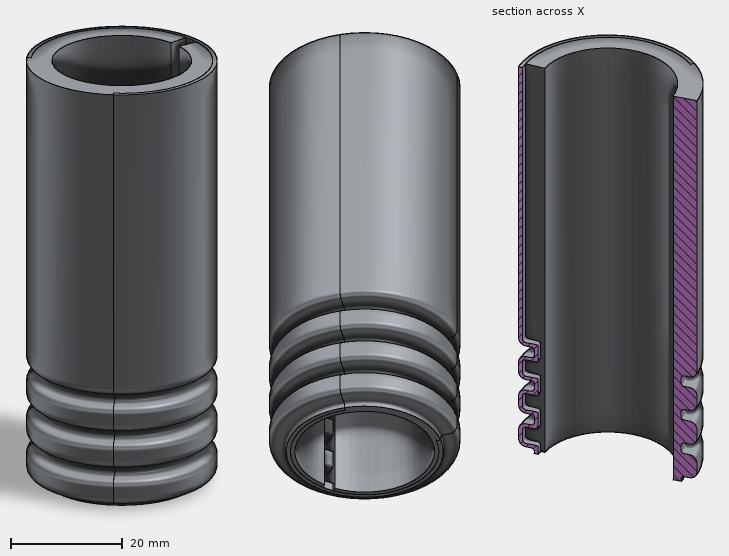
import cadquery as cq
import math

total_height = 80.0
outer_radius = 17.1
bore_radius = 12.5

groove_radius = 14.1
groove_width = 2.1
groove_pitch = 7.0
groove_count = 4
crest_fillet = 1.5
root_fillet = 0.5

shell_thickness = 0.8
opening_angle = 90.0
opening_start = 270.0 - opening_angle / 2
opening_end = opening_start + opening_angle

slot_angle = 10.0
slot_direction = 90.0

DIAGONAL = math.sqrt(0.5)


def corner_arc(profile, corner, from_side, to_side, radius):
    """Round a square corner; the sides are unit (r, z) directions leading from the corner to each side."""
    centre = [c + radius * (a + b) for c, a, b in zip(corner, from_side, to_side)]
    start = tuple(c + radius * a for c, a in zip(corner, from_side))
    middle = tuple(m - radius * DIAGONAL * (a + b) for m, a, b in zip(centre, from_side, to_side))
    end = tuple(c + radius * b for c, b in zip(corner, to_side))
    return profile.lineTo(*start).threePointArc(middle, end)


def grooved_profile(inset):
    """Half section from the axis to the grooved outer surface, moved inwards by the inset."""
    inward, outward, down, up = (-1, 0), (1, 0), (0, -1), (0, 1)
    crest = outer_radius - inset
    root = groove_radius - inset
    half_groove = groove_width / 2 + inset
    crest_round = crest_fillet - inset

    profile = cq.Workplane("XZ").moveTo(0, 0).lineTo(root, 0)
    for index in range(groove_count):
        lower = index * groove_pitch - half_groove
        upper = index * groove_pitch + half_groove
        if index > 0:
            profile = corner_arc(profile, (crest, lower), down, inward, crest_round)
            profile = corner_arc(profile, (root, lower), outward, up, root_fillet)
        profile = corner_arc(profile, (root, upper), down, outward, root_fillet)
        profile = corner_arc(profile, (crest, upper), inward, up, crest_round)
    return profile.lineTo(crest, total_height).lineTo(0, total_height).close()


def sector(inset, start_angle, sweep):
    """Grooved solid turned about Z over part of a circle, from the start angle measured from +X."""
    turned = grooved_profile(inset).revolve(sweep, (0, 0, 0), (0, -1, 0))
    return turned.rotate((0, 0, 0), (0, 0, 1), start_angle + sweep)


def slot_wedge():
    """Wedge with radial sides that reaches beyond the outer surface."""
    reach = 2 * outer_radius
    half_angle = math.radians(slot_angle / 2)
    middle = math.radians(slot_direction)
    corners = [
        (reach * math.cos(middle + side * half_angle), reach * math.sin(middle + side * half_angle))
        for side in (-1, 1)
    ]
    return cq.Workplane("XY").polyline([(0, 0), *corners]).close().extrude(total_height)


def make_shell():
    """Outer shell of even thickness that follows the grooves around three quarters of the sleeve."""
    sweep = 360.0 - opening_angle
    return sector(0, opening_end, sweep).cut(sector(shell_thickness, 0, 360.0))


def make_core():
    """Thick inner tube that fills the shell and its opening, with a bore and a full-length slot."""
    lining = sector(shell_thickness, 0, 360.0)
    opening_fill = sector(0, opening_start, opening_angle)
    bore = cq.Workplane("XY").circle(bore_radius).extrude(total_height)
    return lining.union(opening_fill).cut(bore).cut(slot_wedge())


shell = make_shell()
core = make_core()

result = cq.Compound.makeCompound([shell.solids().val(), core.solids().val()])